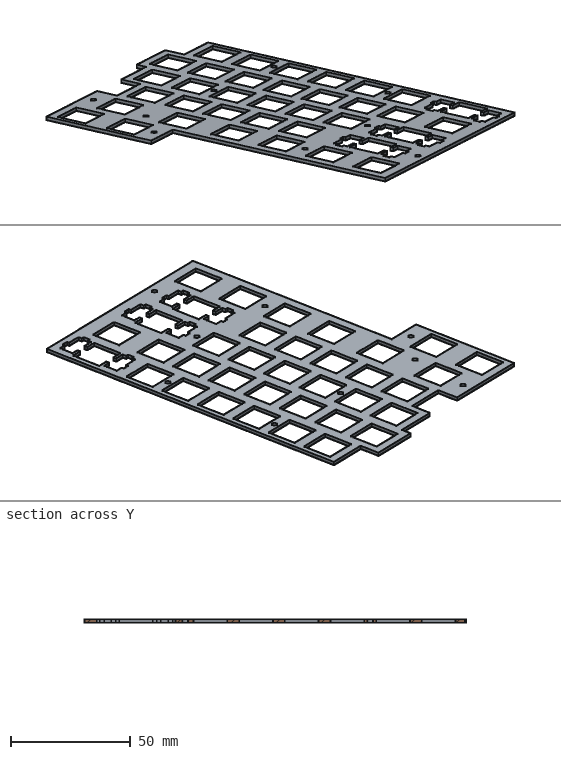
import cadquery as cq


plate_length = 163.5
plate_width = 113.2
plate_thickness = 1.6

six_pitch_span = 114.3
key_pitch = six_pitch_span / 6
web_between_switches = 5.0
switch_size = key_pitch - web_between_switches
screw_diameter = 2.3

right_edge = plate_length / 2
left_edge = -right_edge
back_edge = plate_width / 2
front_edge = -back_edge

side_border = 1.5
edge_to_first_key = key_pitch / 2 + side_border
grid_start = left_edge + edge_to_first_key
edge_to_first_row = 9.5
row_count = 5
row_y = [back_edge - edge_to_first_row - row * key_pitch for row in range(row_count)]
thumb_row_y = -47.3


def column(steps):
    """X of a key lying the given number of key pitches from the grid start."""
    return grid_start + steps * key_pitch


def run_of_keys(start, count):
    """Grid steps of neighbouring keys, one pitch apart."""
    return [start + index for index in range(count)]


stagger = [0.5, 0, 0.25, 0.75]
bottom_row_start = 0.625
bottom_row_gaps = [1.625, 1.375, 1.25, 1.25, 1.25]
bottom_row = [bottom_row_start]
for gap in bottom_row_gaps:
    bottom_row.append(bottom_row[-1] + gap)

last_key_step = 7.25

switch_rows = [
    run_of_keys(stagger[0], 6),
    run_of_keys(stagger[1], 7) + [last_key_step],
    run_of_keys(stagger[2], 6),
    run_of_keys(stagger[3], 5),
    bottom_row,
]
switch_centres = [(column(steps), y) for y, row in zip(row_y, switch_rows) for steps in row]

thumb_left_x = -66.4
thumb_right_x = -41.9
switch_centres += [(thumb_left_x, thumb_row_y), (thumb_right_x, thumb_row_y)]

wide_key_centres = [
    (column(7), row_y[0]),
    (column(6.875), row_y[2]),
    (column(6.625), row_y[3]),
]

stabilizer_inner_x = 8.5
stabilizer_outer_x = 15.2
stabilizer_top_y = 5.5
stabilizer_bottom_y = -6.7
bridge_height = 4.5
side_notch_x = 16.4
side_notch_top_y = bridge_height / 2
side_notch_bottom_y = -0.5
foot_width = 3.1
foot_bottom_y = -8.0

screw_centres = [
    (column(2), row_y[0]),
    (column(5), row_y[0]),
    (column(1.75), row_y[2]),
    (39.7, row_y[2]),
    (77.8, row_y[3]),
    (-72.8, -28.5),
    (column(5.5), row_y[4]),
    (-43.5, -32.9),
    (-29.6, thumb_row_y),
]

row_left_x = [column(steps) - edge_to_first_key for steps in stagger]
step_y = [38.8, 17.3, -1.3, -18.6]
thumb_block_left_x = -77.5
thumb_block_right_x = -24.9
main_front_y = -40.4


def plate_blank():
    """Flat plate with a stepped left side and a thumb block at the front left."""
    points = [
        (thumb_block_left_x, front_edge),
        (thumb_block_right_x, front_edge),
        (thumb_block_right_x, main_front_y),
        (right_edge, main_front_y),
        (right_edge, back_edge),
    ]
    upper_y = back_edge
    for left_x, lower_y in zip(row_left_x, step_y):
        points += [(left_x, upper_y), (left_x, lower_y)]
        upper_y = lower_y
    points.append((thumb_block_left_x, upper_y))
    return cq.Workplane("XY").polyline(points).close().extrude(plate_thickness)


def box_cutter(x_min, x_max, y_min, y_max):
    """Plate-thick block spanning the given rectangle."""
    return (
        cq.Workplane("XY")
        .box(x_max - x_min, y_max - y_min, plate_thickness, centered=False)
        .translate((x_min, y_min, 0))
    )


def stabilizer_cutter():
    """Pair of stabilizer openings joined by a bridge, with side notches and feet."""
    cutter = box_cutter(-side_notch_x, side_notch_x, side_notch_bottom_y, side_notch_top_y)
    cutter = cutter.union(
        box_cutter(-stabilizer_inner_x, stabilizer_inner_x, -bridge_height / 2, bridge_height / 2)
    )
    centre_x = (stabilizer_inner_x + stabilizer_outer_x) / 2
    half_width = (stabilizer_outer_x - stabilizer_inner_x) / 2
    for x in (-centre_x, centre_x):
        opening = box_cutter(x - half_width, x + half_width, stabilizer_bottom_y, stabilizer_top_y)
        foot = box_cutter(x - foot_width / 2, x + foot_width / 2, foot_bottom_y, stabilizer_bottom_y)
        cutter = cutter.union(opening).union(foot)
    return cutter


result = plate_blank()

switches = (
    cq.Workplane("XY")
    .pushPoints(switch_centres + wide_key_centres)
    .rect(switch_size, switch_size)
    .extrude(plate_thickness)
)
result = result.cut(switches)

for x, y in wide_key_centres:
    result = result.cut(stabilizer_cutter().translate((x, y, 0)))

screws = (
    cq.Workplane("XY")
    .pushPoints(screw_centres)
    .circle(screw_diameter / 2)
    .extrude(plate_thickness)
)
result = result.cut(screws)